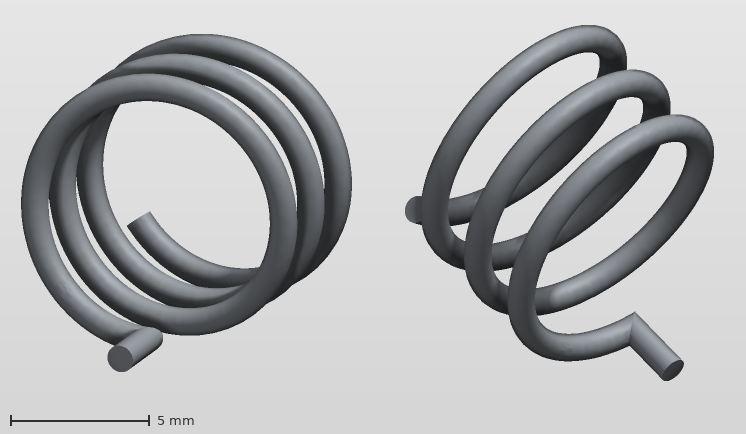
import cadquery as cq
import math

overall_length = 10.85
wire_diameter = 1.0
coil_outer_diameter = 10.2
pitch = 2.54
full_turns = 3
end_angle = 52.3

wire_radius = wire_diameter / 2
coil_radius = (coil_outer_diameter - wire_diameter) / 2
turns = full_turns + end_angle / 360
lead_angle = math.atan(pitch / (2 * math.pi * coil_radius))

leg_length = overall_length - pitch * turns - wire_radius * math.cos(lead_angle)

miter_overrun = wire_diameter
overrun_angle = math.degrees(miter_overrun / coil_radius)
first_stretch_angle = 45
trim_block_size = 3 * wire_diameter

corner = cq.Vector(0, 0, -coil_radius)
leg_direction = cq.Vector(0, 1, 0)
coil_direction = cq.Vector(-math.cos(lead_angle), math.sin(lead_angle), 0)
miter_plane = cq.Plane(
    origin=corner, xDir=(0, 0, 1), normal=leg_direction + coil_direction
)


def make_coil(start_angle, stop_angle):
    """Right-handed coil about Y between two angles, measured in degrees from the corner."""
    height = pitch * (stop_angle - start_angle) / 360
    helix = cq.Wire.makeHelix(pitch, height, coil_radius)
    start_plane = cq.Plane(
        origin=(coil_radius, 0, 0),
        xDir=(1, 0, 0),
        normal=(0, math.cos(lead_angle), math.sin(lead_angle)),
    )
    coil = cq.Workplane(start_plane).circle(wire_radius).sweep(helix, isFrenet=True)
    return (
        coil.rotate((0, 0, 0), (0, 0, 1), 90 + start_angle)
        .rotate((0, 0, 0), (1, 0, 0), -90)
        .translate((0, pitch * start_angle / 360, 0))
    )


def make_leg():
    """Straight wire along Y, running past the corner."""
    leg_plane = cq.Plane(
        origin=(0, -leg_length, -coil_radius), xDir=(1, 0, 0), normal=leg_direction
    )
    return cq.Workplane(leg_plane).circle(wire_radius).extrude(leg_length + miter_overrun)


def trim_block(depth):
    """Block on one side of the miter plane, chosen by the sign of depth."""
    return cq.Workplane(miter_plane).rect(trim_block_size, trim_block_size).extrude(depth)


coil_start = make_coil(-overrun_angle, first_stretch_angle).cut(trim_block(-trim_block_size))
coil_rest = make_coil(first_stretch_angle, 360 * turns)
leg = make_leg().cut(trim_block(trim_block_size))

result = coil_start.union(leg).union(coil_rest)